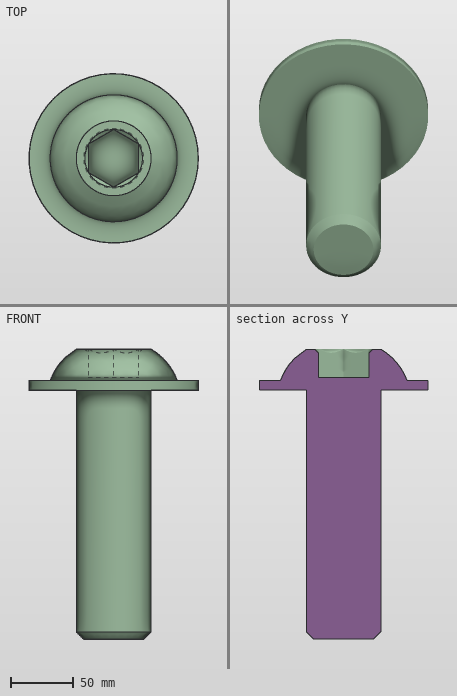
import cadquery as cq
import math

total_height = 233.0
shank_length = 200.0
shank_diameter = 60.0
tip_chamfer = 6.0

flange_diameter = 136.0
flange_thickness = 8.2
dome_base_diameter = 102.0
dome_top_diameter = 60.0
dome_bulge = 2.8

socket_across_flats = 40.0
socket_depth = 22.5
socket_across_corners = socket_across_flats / math.cos(math.radians(30))
countersink_angle = 45.0

flange_top = shank_length + flange_thickness


def make_body():
    """Revolve the shank, flange and dome as one half profile."""
    shank_radius = shank_diameter / 2
    base_radius = dome_base_diameter / 2
    top_radius = dome_top_diameter / 2
    run = base_radius - top_radius
    rise = total_height - flange_top
    chord = math.hypot(run, rise)
    arc_middle = (
        (base_radius + top_radius) / 2 + dome_bulge * rise / chord,
        (flange_top + total_height) / 2 + dome_bulge * run / chord,
    )
    return (
        cq.Workplane("XZ")
        .lineTo(shank_radius - tip_chamfer, 0)
        .lineTo(shank_radius, tip_chamfer)
        .lineTo(shank_radius, shank_length)
        .lineTo(flange_diameter / 2, shank_length)
        .lineTo(flange_diameter / 2, flange_top)
        .lineTo(base_radius, flange_top)
        .threePointArc(arc_middle, (top_radius, total_height))
        .lineTo(0, total_height)
        .close()
        .revolve(360, (0, 0), (0, 1))
    )


def make_socket():
    """Hexagonal recess cut down from the top face."""
    return (
        cq.Workplane("XY", origin=(0, 0, total_height))
        .polygon(6, socket_across_corners)
        .extrude(-socket_depth)
        .rotate((0, 0, 0), (0, 0, 1), 90)
    )


def make_countersink():
    """Cone narrowing from the hexagon corners to the middle of its flats."""
    mouth_radius = socket_across_corners / 2
    throat_radius = socket_across_flats / 2
    cone_depth = (mouth_radius - throat_radius) * math.tan(math.radians(countersink_angle))
    return (
        cq.Workplane("XZ")
        .moveTo(0, total_height)
        .lineTo(mouth_radius, total_height)
        .lineTo(throat_radius, total_height - cone_depth)
        .lineTo(0, total_height - cone_depth)
        .close()
        .revolve(360, (0, 0), (0, 1))
    )


result = make_body().cut(make_socket()).cut(make_countersink())